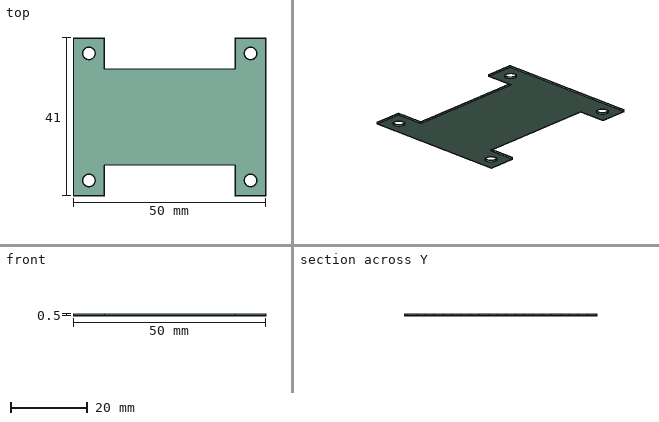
import cadquery as cq

plate_length = 50.0
plate_width = 41.0
plate_thickness = 0.5
tab_size = 8.0
hole_diameter = 3.2

hole_spacing_x = plate_length - tab_size
hole_spacing_y = plate_width - tab_size

web_width = plate_width - 2 * tab_size


def make_plate():
    """Flat H-shaped plate: two end strips joined by a wide web."""
    plate = cq.Workplane("XY").box(plate_length, web_width, plate_thickness)
    end_strips = (
        cq.Workplane("XY")
        .rarray(hole_spacing_x, 1, 2, 1)
        .box(tab_size, plate_width, plate_thickness)
    )
    return plate.union(end_strips).clean()


def drill_tab_holes(plate):
    """Through hole in the centre of each corner tab."""
    return (
        plate.faces(">Z")
        .workplane(origin=(0, 0, 0))
        .rarray(hole_spacing_x, hole_spacing_y, 2, 2)
        .hole(hole_diameter)
    )


result = drill_tab_holes(make_plate())